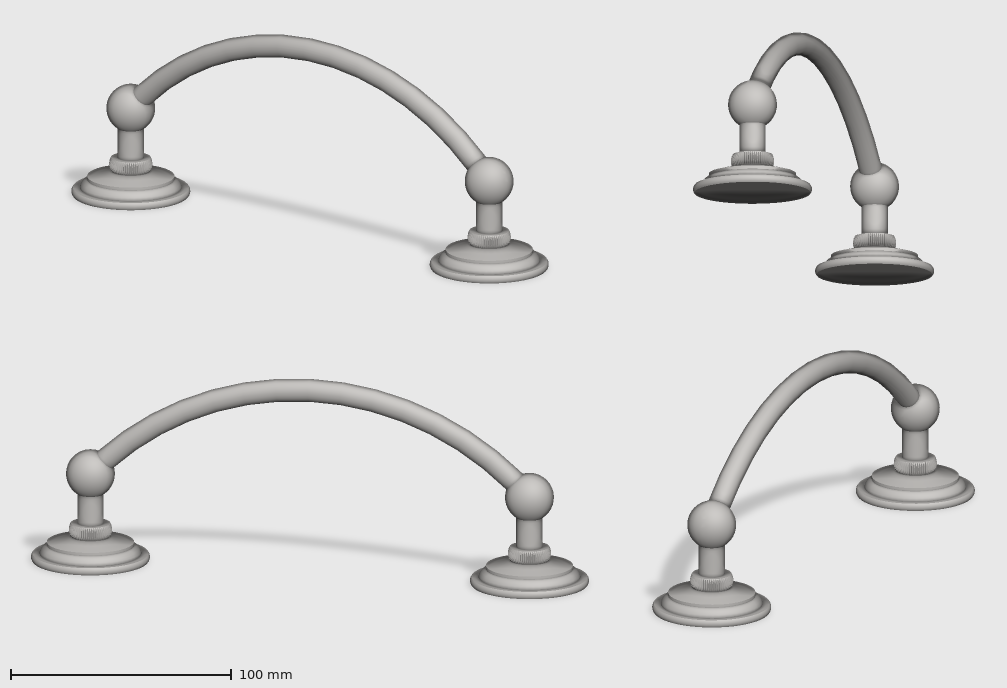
import cadquery as cq
import math

post_spacing = 203.2
overall_height = 90.6

flange_radius = 27.0
flange_thickness = 3.4
flange_edge_bulge = 0.7
dome_foot_radius = 23.1
dome_top_radius = 19.8
dome_top_height = 7.3
dome_bulge = 0.5
rim_height = 8.8

collar_bottom = 11.5
collar_top = 17.6
collar_radius = 9.8
collar_bulge = 0.8
tooth_depth = 0.8
tooth_count = 60

stem_radius = 6.0
ball_radius = 11.1
ball_height = 40.7

rail_radius = 5.2
rail_crown_height = overall_height - rail_radius


def make_base():
    """Turned base: flange, bulging dome, short vertical rim and cone up to the collar."""
    flange_face_radius = flange_radius - flange_edge_bulge
    dome_mid = (
        (dome_foot_radius + dome_top_radius) / 2 + dome_bulge,
        (flange_thickness + dome_top_height) / 2 + dome_bulge,
    )
    return (
        cq.Workplane("XZ")
        .lineTo(flange_face_radius, 0)
        .threePointArc((flange_radius, flange_thickness / 2), (flange_face_radius, flange_thickness))
        .lineTo(dome_foot_radius, flange_thickness)
        .threePointArc(dome_mid, (dome_top_radius, dome_top_height))
        .lineTo(dome_top_radius, rim_height)
        .lineTo(collar_radius, collar_bottom)
        .lineTo(0, collar_bottom)
        .close()
        .revolve(360, (0, 0), (0, 1))
    )


def make_collar():
    """Ring of pointed vertical teeth, crowned like a barrel."""
    height = collar_top - collar_bottom
    outline = []
    for i in range(2 * tooth_count):
        radius = collar_radius - tooth_depth * (i % 2)
        angle = math.pi * i / tooth_count
        outline.append((radius * math.cos(angle), radius * math.sin(angle)))
    teeth = cq.Workplane("XY").workplane(offset=collar_bottom).polyline(outline).close().extrude(height)
    end_radius = collar_radius - collar_bulge
    barrel = (
        cq.Workplane("XZ")
        .moveTo(0, collar_bottom)
        .lineTo(end_radius, collar_bottom)
        .threePointArc((collar_radius, collar_bottom + height / 2), (end_radius, collar_top))
        .lineTo(0, collar_top)
        .close()
        .revolve(360, (0, 0), (0, 1))
    )
    return teeth.intersect(barrel)


def make_post():
    """Complete post standing on the origin."""
    stem = cq.Workplane("XY").circle(stem_radius).extrude(ball_height)
    ball = cq.Workplane("XY").sphere(ball_radius).translate((0, 0, ball_height))
    return make_base().union(make_collar()).union(stem).union(ball)


def make_rail():
    """Round rail swept along the arc through both ball centres and the crown."""
    half_span = post_spacing / 2
    rise = rail_crown_height - ball_height
    arc_radius = (half_span**2 + rise**2) / (2 * rise)
    arc_centre_height = rail_crown_height - arc_radius
    start = (-half_span, ball_height)
    path = cq.Workplane("XZ").moveTo(*start).threePointArc((0, rail_crown_height), (half_span, ball_height))
    start_plane = cq.Plane(
        origin=(-half_span, 0, ball_height),
        xDir=(0, 1, 0),
        normal=(ball_height - arc_centre_height, 0, half_span),
    )
    return cq.Workplane(start_plane).circle(rail_radius).sweep(path)


post = make_post()
result = make_rail()
for side in (-1, 1):
    result = result.union(post.translate((side * post_spacing / 2, 0, 0)))